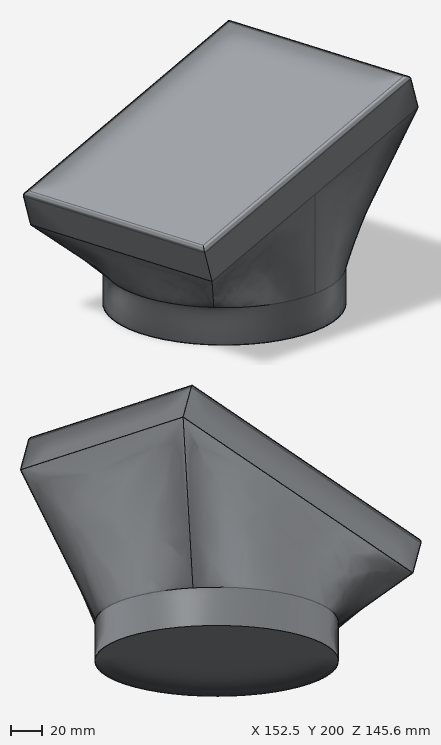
import cadquery as cq

collar_diameter = 152.5
collar_height = 25.0

head_width = collar_diameter
head_length = 203.0
head_thickness = 25.0
head_tilt = 18.0
head_center_height = 91.2
top_edge_radius = 3.0


def head_plane():
    """Plane of the head's underside, tilted about the X axis."""
    return cq.Plane(origin=(0, 0, head_center_height)).rotated((head_tilt, 0, 0))


def make_collar():
    return cq.Workplane("XY").circle(collar_diameter / 2).extrude(collar_height)


def make_transition():
    """Straight-sided loft from the round collar to the rectangular head."""
    rim = cq.Wire.makeCircle(
        collar_diameter / 2, cq.Vector(0, 0, collar_height), cq.Vector(0, 0, 1)
    )
    underside = cq.Workplane(head_plane()).rect(head_width, head_length).wires().val()
    return cq.Workplane(cq.Solid.makeLoft([rim, underside], True))


def make_head():
    """Rectangular block with rounded edges around its upper face."""
    block = cq.Workplane("XY").rect(head_width, head_length).extrude(head_thickness)
    block = block.faces(">Z").edges().fillet(top_edge_radius)
    return cq.Workplane(block.val().moved(cq.Location(head_plane())))


result = make_collar().union(make_transition()).union(make_head())